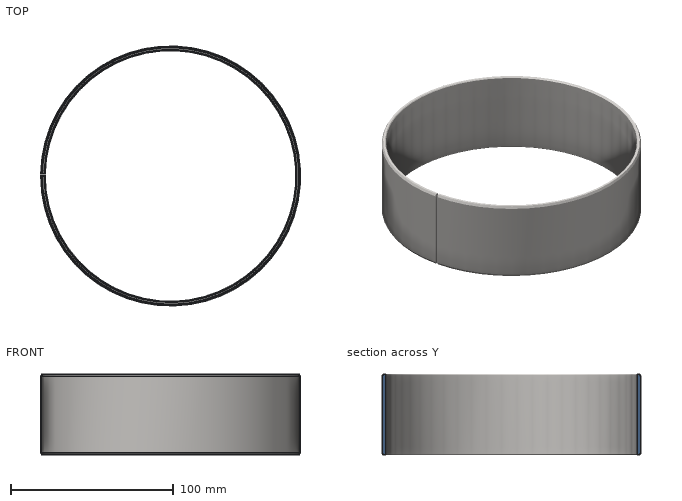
import cadquery as cq

outer_diameter = 160.0
wall = 2.5
height = 50.0
gap_angle = 1.0
outer_chamfer_height = 1.5
outer_chamfer_depth = 0.8
inner_chamfer = 0.5

outer_radius = outer_diameter / 2
inner_radius = outer_radius - wall
half_height = height / 2


def split_ring():
    """Revolve the chamfered wall section from -X, stopping short to leave the split on its +Y side."""
    outer_rim = outer_radius - outer_chamfer_depth
    inner_rim = inner_radius + inner_chamfer
    outer_edge = half_height - outer_chamfer_height
    inner_edge = half_height - inner_chamfer
    section = [
        (-inner_rim, -half_height),
        (-outer_rim, -half_height),
        (-outer_radius, -outer_edge),
        (-outer_radius, outer_edge),
        (-outer_rim, half_height),
        (-inner_rim, half_height),
        (-inner_radius, inner_edge),
        (-inner_radius, -inner_edge),
    ]
    return cq.Workplane("XZ").polyline(section).close().revolve(360 - gap_angle, (0, 0), (0, 1))


result = split_ring()